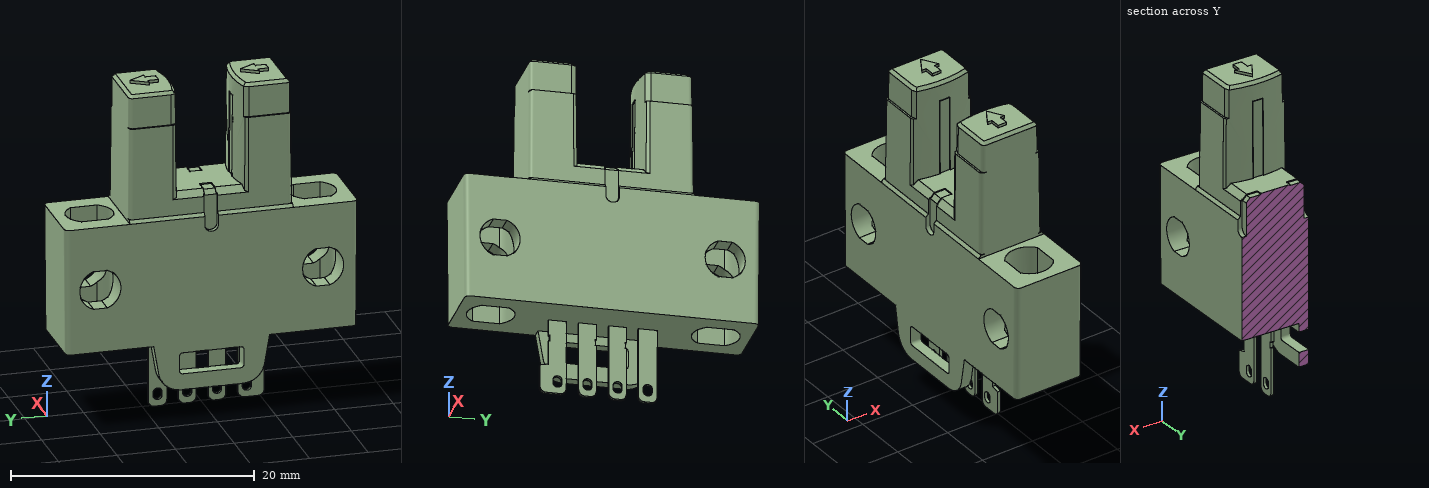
import cadquery as cq
import math


DRAFT = 0.5
CUT_MARGIN = 1.0


def drafted(height):
    """Sideways shift of a drafted wall over the given height."""
    return height * math.tan(math.radians(DRAFT))


BLOCK_WIDTH = 6.6
BLOCK_LENGTH = 25.0
BLOCK_HEIGHT = 11.0
BLOCK_EDGE_RADIUS = 0.45
HOLE_PITCH = 19.0

HOLE_FLATS = 3.3
VERTICAL_HOLE_DIAMETER = 4.0
CROSS_HOLE_DIAMETER = 3.5
CROSS_HOLE_HEIGHT = BLOCK_HEIGHT / 2

ARMS_WIDTH = 6.08
ARMS_LENGTH = 13.94
ARMS_TOP = 22.1
ARM_EDGE_RADIUS = 0.35
CAP_BOTTOM = 19.2
CAP_WIDTH = 5.6
CAP_CHAMFER = 0.27
FOOT_FLARE_HEIGHT = 0.27

GAP_FLOOR = 13.2
GAP_AT_MIDDLE = 4.97
GAP_WALL_RADIUS = 10.0
GAP_CORNER_X = 0.13
GAP_CORNER_Y = 0.33
FLOOR_CHAMFER = 0.55
WINDOW_WIDTH = 1.0
WINDOW_TOP = 20.3
WINDOW_DEPTH = 0.1

GROOVE_WIDTH = 1.15
GROOVE_BOTTOM = 9.65
GROOVE_FLOOR_X = 2.87
FLOOR_GROOVE_WIDTH = 1.0
FLOOR_GROOVE_DEPTH = 0.1
FLOOR_GROOVE_INNER_X = 1.43

ARROW_TOP = 22.35
ARROW_HEAD_WIDTH = 1.7
ARROW_SHAFT_WIDTH = 0.84
ARROW_LENGTH = 2.3
ARROW_HEAD_LENGTH = 1.4
ARROW_TIPS_Y = (6.03, -3.37)

TAB_THICKNESS = 1.0
TAB_DEPTH = 4.05
TAB_ROOT_WIDTH = 9.9
TAB_END_WIDTH = 8.5
TAB_CORNER_RADIUS = 1.9
TAB_SLOT_LENGTH = 5.5
TAB_SLOT_TOP = -0.8
TAB_SLOT_BOTTOM = -2.65
TAB_SLOT_RADIUS = 0.28
TAB_SLOT_FLANK_TAPER = 0.08

PIN_PITCH = 2.54
PIN_ROW_Y = -0.06
PIN_WIDTH = 1.5
FIRST_PIN_WIDTH = 1.6
PIN_THICKNESS = 0.3
PIN_CENTER_X = -0.1
PIN_BOTTOM = -6.5
PIN_CORNER_RADIUS = 0.5
PIN_EYE_WIDTH = 0.76
PIN_EYE_HEIGHT = 1.0
PIN_EYE_Z = -5.43
PIN_NOTCH_DEPTH = 0.1
PIN_NOTCH_TOP = -1.33
PIN_NOTCH_BOTTOM = -1.86
LAST_PIN_LOBE_WIDTH = 0.73
LAST_PIN_LOBE_TOP = -3.95
LAST_PIN_LOBE_DROP = 0.15


def yz_prism(points, x_min, x_max):
    return cq.Workplane("YZ", origin=(x_min, 0, 0)).polyline(points).close().extrude(x_max - x_min)


def flatted_hole(plane, diameter, depth, taper):
    """Round hole trimmed by two flats that face along the plane's x direction."""
    radius = diameter / 2
    flat = HOLE_FLATS / 2
    end = math.sqrt(radius**2 - flat**2)
    return (
        cq.Workplane(plane)
        .moveTo(flat, -end)
        .lineTo(flat, end)
        .threePointArc((0, radius), (-flat, end))
        .lineTo(-flat, -end)
        .threePointArc((0, -radius), (flat, -end))
        .close()
        .extrude(depth, taper=taper)
    )


def make_block():
    top = BLOCK_LENGTH / 2
    bottom = top - drafted(BLOCK_HEIGHT)
    outline = [(-bottom, 0), (bottom, 0), (top, BLOCK_HEIGHT), (-top, BLOCK_HEIGHT)]
    block = yz_prism(outline, -BLOCK_WIDTH / 2, BLOCK_WIDTH / 2)
    return block.edges("not(|X or |Y)").fillet(BLOCK_EDGE_RADIUS)


def cut_mounting_holes(body):
    for y in (-HOLE_PITCH / 2, HOLE_PITCH / 2):
        vertical = cq.Plane(origin=(0, y, 0), xDir=(1, 0, 0), normal=(0, 0, 1))
        body = body.cut(flatted_hole(vertical, VERTICAL_HOLE_DIAMETER, BLOCK_HEIGHT, 0))
        across = cq.Plane(origin=(-BLOCK_WIDTH / 2, y, CROSS_HOLE_HEIGHT), xDir=(0, 0, 1), normal=(1, 0, 0))
        body = body.cut(flatted_hole(across, CROSS_HOLE_DIAMETER, BLOCK_WIDTH, DRAFT))
    return body


def make_tower(width, length, z_min, z_max):
    tower = cq.Workplane("XY", origin=(0, 0, z_min)).rect(width, length)
    tower = tower.extrude(z_max - z_min, taper=DRAFT)
    return tower.edges("not(|X or |Y)").fillet(ARM_EDGE_RADIUS)


def floor_end_cutter(depth, inner_x, width):
    """Cutter reaching down to one end of the gap floor and its chamfer, sunk below them by the depth."""
    outer_x = BLOCK_WIDTH / 2 + CUT_MARGIN
    break_x = ARMS_WIDTH / 2 - FLOOR_CHAMFER
    floor_z = GAP_FLOOR - depth
    outline = [
        (inner_x, ARMS_TOP),
        (inner_x, floor_z),
        (break_x, floor_z),
        (outer_x, floor_z - (outer_x - break_x)),
        (outer_x, ARMS_TOP),
    ]
    return cq.Workplane("XZ").polyline(outline).close().extrude(width / 2, both=True)


def gap_wall_y(x):
    """Distance of the bulging inner walls from the middle of the gap, at the foot of the gap cutters."""
    return GAP_AT_MIDDLE / 2 - drafted(CUT_MARGIN) + GAP_WALL_RADIUS - math.sqrt(GAP_WALL_RADIUS**2 - x**2)


def above_floor(outline):
    """Drafted extrusion of a closed outline, kept above the gap floor and its end chamfers."""
    lowest = GAP_FLOOR - CUT_MARGIN
    prism = outline.extrude(ARMS_TOP - lowest, taper=-DRAFT).translate((0, 0, lowest))
    half_above = floor_end_cutter(0, 0, BLOCK_LENGTH)
    return prism.intersect(half_above.union(half_above.mirror("YZ")))


def gap_cutter():
    end_x = BLOCK_WIDTH / 2
    end_y = gap_wall_y(end_x)
    middle_y = gap_wall_y(0)
    outline = (
        cq.Workplane("XY")
        .moveTo(end_x, -end_y)
        .lineTo(end_x, end_y)
        .threePointArc((0, middle_y), (-end_x, end_y))
        .lineTo(-end_x, -end_y)
        .threePointArc((0, -middle_y), (end_x, -end_y))
        .close()
    )
    return above_floor(outline)


def gap_corner_cutter(arm_width):
    """Wedges at both ends of the gap that bevel the arms' inner corners."""
    corner_x = arm_width / 2 - GAP_CORNER_X
    corner_y = gap_wall_y(corner_x)
    outer_x = BLOCK_WIDTH / 2
    outer_y = corner_y + (outer_x - corner_x) * GAP_CORNER_Y / GAP_CORNER_X
    points = [(corner_x, -corner_y), (outer_x, -outer_y), (outer_x, outer_y), (corner_x, corner_y)]
    wedge = above_floor(cq.Workplane("XY").polyline(points).close())
    return wedge.union(wedge.mirror("YZ"))


def make_caps():
    cap_length = ARMS_LENGTH - 2 * drafted(CAP_BOTTOM - BLOCK_HEIGHT)
    caps = make_tower(CAP_WIDTH, cap_length, CAP_BOTTOM, ARMS_TOP)
    return caps.cut(gap_corner_cutter(CAP_WIDTH))


def make_window():
    """Shallow flat-bottomed recess in both inner walls, following their draft."""
    bottom_y = GAP_AT_MIDDLE / 2 + WINDOW_DEPTH
    top_y = bottom_y + drafted(WINDOW_TOP - GAP_FLOOR)
    outline = [(-bottom_y, GAP_FLOOR), (bottom_y, GAP_FLOOR), (top_y, WINDOW_TOP), (-top_y, WINDOW_TOP)]
    return yz_prism(outline, -WINDOW_WIDTH / 2, WINDOW_WIDTH / 2)


def make_arms():
    arms = make_tower(ARMS_WIDTH, ARMS_LENGTH, BLOCK_HEIGHT, CAP_BOTTOM)
    arms = arms.cut(gap_corner_cutter(ARMS_WIDTH)).union(make_caps()).cut(gap_cutter())
    return arms.faces(">Z").edges().chamfer(CAP_CHAMFER).cut(make_window())


def make_foot_flare():
    """Sloped skirt that widens the foot of the arms to the block."""
    bottom = BLOCK_WIDTH / 2
    top = bottom - FOOT_FLARE_HEIGHT
    flare_top = BLOCK_HEIGHT + FOOT_FLARE_HEIGHT
    outline = [(-bottom, BLOCK_HEIGHT), (bottom, BLOCK_HEIGHT), (top, flare_top), (-top, flare_top)]
    flare = cq.Workplane("XZ").polyline(outline).close().extrude(ARMS_LENGTH / 2, both=True)
    drafted_ends = cq.Workplane("XY", origin=(0, 0, BLOCK_HEIGHT)).rect(2 * BLOCK_WIDTH, ARMS_LENGTH)
    return flare.intersect(drafted_ends.extrude(FOOT_FLARE_HEIGHT, taper=DRAFT))


def cut_grooves(body):
    groove_height = GAP_FLOOR - GROOVE_BOTTOM + GROOVE_WIDTH
    groove_depth = BLOCK_WIDTH / 2 + CUT_MARGIN - GROOVE_FLOOR_X
    groove = (
        cq.Workplane("YZ", origin=(GROOVE_FLOOR_X, 0, GROOVE_BOTTOM + groove_height / 2))
        .slot2D(groove_height, GROOVE_WIDTH, 90)
        .extrude(groove_depth)
    )
    body = body.cut(groove).cut(groove.mirror("YZ"))
    floor_groove = floor_end_cutter(FLOOR_GROOVE_DEPTH, FLOOR_GROOVE_INNER_X, FLOOR_GROOVE_WIDTH)
    return body.cut(floor_groove).cut(floor_groove.mirror("YZ"))


def make_arrow(tip_y):
    """Raised arrow pointing along +Y."""
    head = ARROW_HEAD_WIDTH / 2
    shaft = ARROW_SHAFT_WIDTH / 2
    head_y = tip_y - ARROW_HEAD_LENGTH
    tail_y = tip_y - ARROW_LENGTH
    outline = [
        (0, tip_y),
        (-head, head_y),
        (-shaft, head_y),
        (-shaft, tail_y),
        (shaft, tail_y),
        (shaft, head_y),
        (head, head_y),
    ]
    return cq.Workplane("XY", origin=(0, 0, ARMS_TOP)).polyline(outline).close().extrude(ARROW_TOP - ARMS_TOP)


def make_tab():
    root = TAB_ROOT_WIDTH / 2
    end = TAB_END_WIDTH / 2
    front_x = -BLOCK_WIDTH / 2
    back_x = front_x + TAB_THICKNESS
    tab = yz_prism([(-root, 0), (-end, -TAB_DEPTH), (end, -TAB_DEPTH), (root, 0)], front_x, back_x)
    tab = tab.faces("<Z").edges("|X").fillet(TAB_CORNER_RADIUS)
    wide = TAB_SLOT_LENGTH / 2
    narrow = wide - TAB_SLOT_FLANK_TAPER
    slot = (
        cq.Workplane("XY", origin=(0, 0, TAB_SLOT_BOTTOM))
        .polyline([(front_x, -wide), (back_x, -narrow), (back_x, narrow), (front_x, wide)])
        .close()
        .extrude(TAB_SLOT_TOP - TAB_SLOT_BOTTOM)
        .edges("not(|Y or |Z)")
        .fillet(TAB_SLOT_RADIUS)
    )
    return tab.cut(slot)


def make_pin(y_min, y_max, lobe_width=0.0):
    """Flat pin with rounded lower corners; a lobe widens it towards -Y."""
    x_min = PIN_CENTER_X - PIN_THICKNESS / 2
    x_max = PIN_CENTER_X + PIN_THICKNESS / 2
    outline = [(y_max, PIN_BOTTOM), (y_max, 0), (y_min, 0)]
    if lobe_width:
        outline.append((y_min, LAST_PIN_LOBE_TOP))
        outline.append((y_min - lobe_width, LAST_PIN_LOBE_TOP - LAST_PIN_LOBE_DROP))
    outline.append((y_min - lobe_width, PIN_BOTTOM))
    pin = yz_prism(outline, x_min, x_max)
    return pin.faces("<Z").edges("|X").fillet(PIN_CORNER_RADIUS)


def pin_eye(y):
    eye = cq.Workplane("YZ", origin=(PIN_CENTER_X, y, PIN_EYE_Z))
    return eye.slot2D(PIN_EYE_HEIGHT, PIN_EYE_WIDTH, 90).extrude(PIN_THICKNESS, both=True)


def pin_notch(edge_y):
    """Shallow nick in a pin's edge."""
    height = PIN_NOTCH_TOP - PIN_NOTCH_BOTTOM
    middle = (PIN_CENTER_X, edge_y, PIN_NOTCH_BOTTOM + height / 2)
    return cq.Workplane("XY").box(2 * PIN_THICKNESS, 2 * PIN_NOTCH_DEPTH, height).translate(middle)


def make_pins():
    first, second, third, fourth = [PIN_ROW_Y + PIN_PITCH * step for step in (1.5, 0.5, -0.5, -1.5)]
    half = PIN_WIDTH / 2
    first_half = FIRST_PIN_WIDTH / 2
    pins = make_pin(first - first_half, first + first_half).cut(pin_eye(first))
    for y in (second, third):
        pins = pins.union(make_pin(y - half, y + half).cut(pin_eye(y)).cut(pin_notch(y + half)))
    last_pin = make_pin(fourth - half, fourth + half, LAST_PIN_LOBE_WIDTH)
    return pins.union(last_pin.cut(pin_eye(fourth)).cut(pin_notch(fourth - half)))


body = make_block().union(make_arms()).union(make_foot_flare())
body = cut_mounting_holes(body)
body = cut_grooves(body)
for tip_y in ARROW_TIPS_Y:
    body = body.union(make_arrow(tip_y))
result = body.union(make_tab()).union(make_pins())